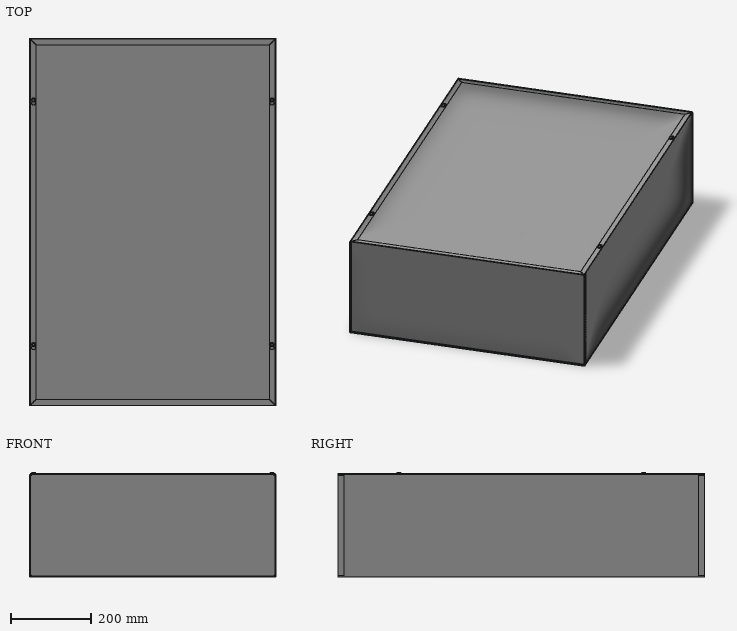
import cadquery as cq


sheet = 1.88
bend_inner = 0.381
bend_outer = bend_inner + sheet
flange = 15.875
mitre_gap = 1.0

length = 914.4
cap_width = 609.6
cap_height = 254.0
wrapper_width = cap_width + 2 * sheet
wrapper_height = cap_height + sheet
flange_underside = wrapper_height - sheet
cap_half_width = cap_width / 2
wrapper_half_width = wrapper_width / 2
end_y = length / 2

shank_diameter = 4.34
shank_length = 12.7
head_diameter = 9.48
head_top_diameter = 4.83
head_height = 3.33
screw_inset = 9.525
head_rounding = (head_diameter - head_top_diameter) / 2
screw_x = wrapper_half_width - screw_inset
screw_y = length / 3
screw_places = [(side * screw_x, end * screw_y) for side in (-1, 1) for end in (-1, 1)]

keyhole_slot_width = 7.14
keyhole_entry_diameter = 10.0
keyhole_travel = 8.0


def make_wrapper():
    """Floor, two sides and two inward top flanges folded from one sheet."""
    mouth_half_width = wrapper_half_width - flange
    outer = (
        cq.Workplane("XZ")
        .rect(wrapper_width, wrapper_height)
        .extrude(end_y, both=True)
        .edges("|Y")
        .fillet(bend_outer)
    )
    inner = (
        cq.Workplane("XZ")
        .rect(cap_width, wrapper_height - 2 * sheet)
        .extrude(end_y, both=True)
        .edges("|Y")
        .fillet(bend_inner)
    )
    tube = outer.cut(inner).translate((0, 0, wrapper_height / 2))
    mouth = (
        cq.Workplane("XY", origin=(0, 0, flange_underside))
        .rect(2 * mouth_half_width, length)
        .extrude(sheet)
    )
    wrapper = tube.cut(mouth)
    for end in (-1, 1):
        clearance = (
            cq.Workplane("XY", origin=(0, 0, flange_underside))
            .polyline(
                [
                    (-wrapper_half_width, end * end_y),
                    (wrapper_half_width, end * end_y),
                    (mouth_half_width, end * (end_y - flange)),
                    (-mouth_half_width, end * (end_y - flange)),
                ]
            )
            .close()
            .extrude(sheet)
        )
        wrapper = wrapper.cut(clearance)
    screw_holes = (
        cq.Workplane("XY", origin=(0, 0, flange_underside))
        .pushPoints(screw_places)
        .circle(shank_diameter / 2)
        .extrude(sheet)
    )
    return wrapper.cut(screw_holes)


def folded_edge(run):
    """Bend and flange along X: the bend leaves a panel on the XZ plane, whose outline is at
    Z = 0, and the flange reaches toward +Y. `run` is the length, centred on X = 0."""
    return (
        cq.Workplane("YZ")
        .moveTo(0, -bend_outer)
        .radiusArc((bend_outer, 0), bend_outer)
        .lineTo(flange, 0)
        .lineTo(flange, -sheet)
        .lineTo(bend_outer, -sheet)
        .radiusArc((sheet, -bend_outer), -bend_inner)
        .close()
        .extrude(run / 2, both=True)
    )


def make_front_cap():
    """End panel at -Y with a flange folded inward along each of its four edges."""
    face_width = cap_width - 2 * bend_outer
    face_height = cap_height - 2 * bend_outer
    panel = cq.Workplane("XY").box(face_width, sheet, face_height).translate((0, sheet / 2, 0))
    y_axis = ((0, 0, 0), (0, 1, 0))

    mitre_half_width = wrapper_half_width - mitre_gap
    mitre = (
        cq.Workplane("XY", origin=(0, 0, -bend_outer))
        .polyline(
            [
                (-mitre_half_width, 0),
                (mitre_half_width, 0),
                (mitre_half_width - flange, flange),
                (flange - mitre_half_width, flange),
            ]
        )
        .close()
        .extrude(bend_outer)
    )
    top_fold = folded_edge(face_width).intersect(mitre).translate((0, 0, cap_height / 2))
    bottom_fold = folded_edge(face_width).translate((0, 0, cap_height / 2)).rotate(*y_axis, 180)
    cap = panel.union(top_fold).union(bottom_fold)
    for turn in (-90, 90):
        side_fold = folded_edge(face_height).translate((0, 0, cap_half_width)).rotate(*y_axis, turn)
        cap = cap.union(side_fold)
    return cap.translate((0, -end_y, sheet + cap_height / 2))


def make_cover():
    """Flat lid with a keyhole around each screw."""
    cover = (
        cq.Workplane("XY", origin=(0, 0, wrapper_height))
        .rect(cap_width, length)
        .extrude(sheet)
    )
    for x, y in screw_places:
        at_screw = cq.Workplane("XY", origin=(x, y, wrapper_height))
        slot_end = at_screw.circle(keyhole_slot_width / 2).extrude(sheet)
        slot = (
            at_screw.center(0, -keyhole_travel / 2)
            .rect(keyhole_slot_width, keyhole_travel)
            .extrude(sheet)
        )
        entry = (
            at_screw.center(0, -keyhole_travel)
            .circle(keyhole_entry_diameter / 2)
            .extrude(sheet)
        )
        cover = cover.cut(slot_end.union(slot).union(entry))
    return cover


def make_screw(x, y):
    """Pan head screw seated on the cover and passing through the wrapper flange."""
    seat = cq.Workplane("XY", origin=(x, y, wrapper_height + sheet))
    head = seat.circle(head_diameter / 2).extrude(head_height)
    head = head.faces(">Z").edges().fillet(head_rounding)
    shank = seat.circle(shank_diameter / 2).extrude(-shank_length)
    return head.union(shank)


wrapper = make_wrapper()
front_cap = make_front_cap()
back_cap = front_cap.mirror("XZ")
cover = make_cover()
screws = [make_screw(x, y) for x, y in screw_places]

result = cq.Compound.makeCompound(
    [
        wrapper.val(),
        front_cap.val(),
        back_cap.val(),
        cover.val(),
        *[screw.val() for screw in screws],
    ]
)